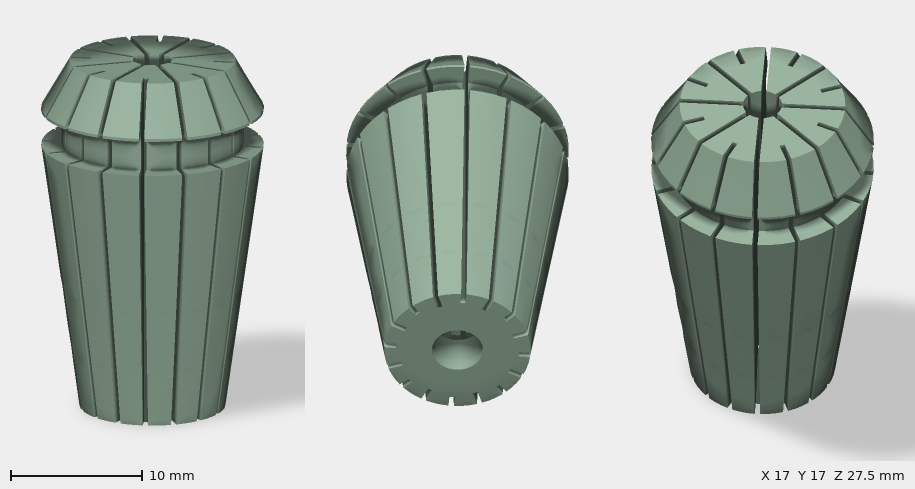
import cadquery as cq
import math

height = 27.5
max_radius = 8.5

head_height = 4.0
rim_height = 0.22
head_half_angle = 30.0

groove_width = 2.72
groove_radius = 6.93

body_half_angle = 8.0

bore_radius = 1.48
relief_radius = 1.95

long_slot_count = 8
slot_pitch = 360.0 / long_slot_count
slot_width = 0.4
short_slot_inner_radius = 4.7

bridge_height = 3.52
bridge_foot_radius = 4.45

rim_bottom = height - head_height
rim_top = rim_bottom + rim_height
body_top = rim_bottom - groove_width
cone_height = height - rim_top
top_radius = max_radius - cone_height * math.tan(math.radians(head_half_angle))
foot_radius = max_radius - body_top * math.tan(math.radians(body_half_angle))


def revolve_profile(points):
    """Revolve a closed (radius, height) outline about the Z axis."""
    return cq.Workplane("XZ").polyline(points).close().revolve(360, (0, 0), (0, 1))


def make_blank():
    """Solid outer body: tapered shank, groove and conical head."""
    return revolve_profile([
        (0, 0),
        (foot_radius, 0),
        (max_radius, body_top),
        (groove_radius, body_top),
        (groove_radius, rim_bottom),
        (max_radius, rim_bottom),
        (max_radius, rim_top),
        (top_radius, height),
        (0, height),
    ])


def make_bore():
    """Through bore, widened at the foot up to the tops of the bridges."""
    bore = cq.Workplane("XY").circle(bore_radius).extrude(height)
    relief = cq.Workplane("XY").circle(relief_radius).extrude(bridge_height)
    return bore.union(relief)


def make_slots(inner_radius, first_angle):
    """Ring of full-height radial slots running outward from inner_radius."""
    length = max_radius + slot_width - inner_radius
    blade = (
        cq.Workplane("XY")
        .box(length, slot_width, height, centered=(False, True, False))
        .translate((inner_radius, 0, 0))
    )
    slots = cq.Workplane("XY")
    for i in range(long_slot_count):
        angle = first_angle + i * slot_pitch
        slots = slots.add(blade.rotate((0, 0, 0), (0, 0, 1), angle))
    return slots.combine()


def make_bridge_core():
    """Conical ring protected from the long slots."""
    return revolve_profile([
        (relief_radius, 0),
        (bridge_foot_radius, 0),
        (relief_radius, bridge_height),
    ])


long_slots = make_slots(0, 0).cut(make_bridge_core())
short_slots = make_slots(short_slot_inner_radius, slot_pitch / 2)

result = make_blank().cut(make_bore()).cut(long_slots).cut(short_slots)